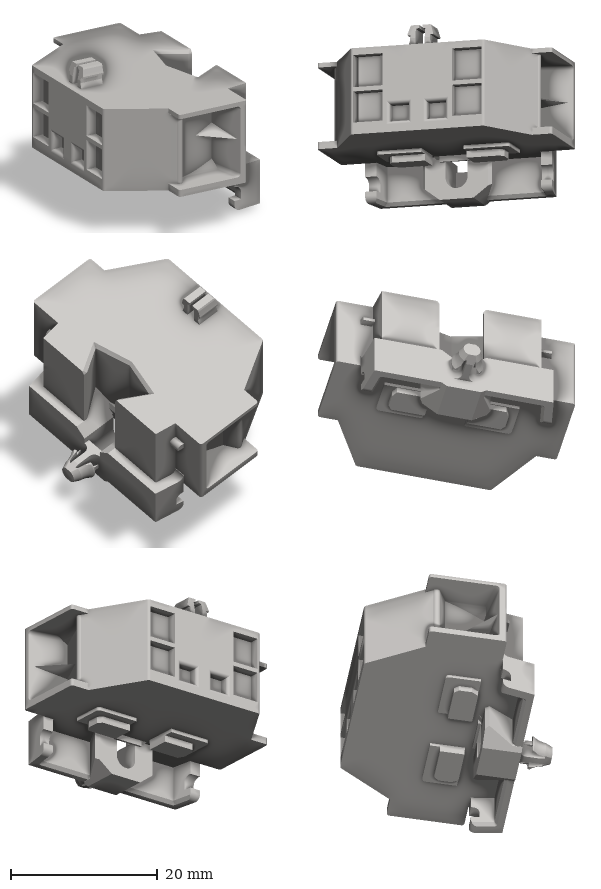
import cadquery as cq
import math


OVERLAP = 0.35

HOUSING_H = 12.03
HALF_WIDTH = 16.8
WING_FRONT_Y = 7.73
WING_REAR_Y = 18.48
WING_CORNER_R = 0.37
FLANK_FOOT_X = 13.95
FLANK_SLOPE = math.tan(math.radians(60))
FRONT_HALF_W = FLANK_FOOT_X - WING_FRONT_Y / FLANK_SLOPE
FRONT_EDGE_R = 0.45
TOWER_ROOT_X = 11.7
TOWER_REAR_X = 11.22
TOWER_REAR_Y = 21.7

WING_FLOOR_Z = 1.0
WING_ROOF_T = 0.65
WING_ROOF_Z = HOUSING_H - WING_ROOF_T
POCKET_R = 0.5
POCKET_REAR_Y = 17.47
POCKET_INNER_X = 11.02
POCKET_INNER_Y = 16.33
POCKET_FRONT_X = 12.85
POCKET_FRONT_Y = 10.62
FLANK_TIP_X = 14.75
FLANK_TIP_Y = 9.2
FLANK_TIP_START_Y = 8.7
FLANK_TIP_END = (14.4, 9.68)
RIDGE_Z = 6.3
RIDGE_HALF_H = 0.95
RIDGE_CREST_X = 16.03
RIDGE_END_Y = 13.2
GUIDE_OUTER_X = 12.97
GUIDE_ANGLE = math.radians(37)
GUIDE_R = 2.1

WINDOW_X = (5.0, 9.17)
WINDOW_Z = ((1.65, 5.98), (6.6, 11.05))
WINDOW_DEPTH = 1.5
GUTTER_W = 0.27
GUTTER_DEPTH = 0.47
PROBE_X = (1.3, 4.0)
PROBE_Z = (1.55, 3.93)
PROBE_RIM_R = 0.45
PROBE_DEPTH = 1.5

NOTCH_HALF_W = 3.12
NOTCH_NECK_Y = 21.1
NOTCH_WIDE_X = 5.35
NOTCH_WIDE_Y = 17.45
NOTCH_APEX_Y = 16.05
RIM_HALF_W = 3.43
RIM_NECK_Y = 21.57
RIM_WIDE_X = 6.05
RIM_WIDE_Y = 17.15
RIM_APEX_Y = 15.65
RIM_BEVEL_H = 0.5
TROUGH_R = 1.58
TROUGH_AXIS_Z = -2.9
TROUGH_FRONT_Y = 17.6
TROUGH_REAR_Y = 22.2
SADDLE_LOW_Z = -0.25
SILL_CORNER_W = 0.3
SILL_Y = 17.0
SILL_EDGE_Y = 17.45
SILL_TOP_Z = 1.0
SILL_LIP_H = 0.4
SILL_BEVEL_H = 0.47
TONGUE_HALF_W = 2.3
TONGUE_Y = 17.07
TONGUE_DEPTH = 0.8

SKIRT_REAR_Y = 23.05
SKIRT_REAR_X = 12.6
SKIRT_ROOT_X = 13.4
SKIRT_FRONT_Y = 18.55
LEG_INNER_X = 11.8
SKIRT_TOP_Z = 1.0
SKIRT_BOTTOM_Z = -5.45
SKIRT_BEVEL = 0.5
SKIRT_INNER_BEVEL = 0.4
SKIRT_TOE_R = 0.9
SKIRT_TOP_R = 0.85
CATCH_REAR_Y = 19.7
CATCH_Z = (-3.93, -1.88)
CATCH_R = 1.08
STOP_REAR_Y = 19.45
STOP_Z = (8.1, 9.05)
STOP_R = 0.65

BLOCK_BOTTOM_Z = -5.98
BLOCK_HALF_W = 4.95
BLOCK_FRONT_HALF_W = 4.55
BLOCK_BEVEL_Y = 18.15
BLOCK_SHOULDER_Z = -4.1
BLOCK_BOTTOM_HALF_W = 2.42
BLOCK_REAR_HALF_W = 3.1

FOOT_INNER_X = 3.0
PAD_OUTER_X = 9.5
PAD_Y = (11.32, 16.2)
PAD_R = 0.5
PAD_H = 0.5
FOOT_OUTER_X = 8.2
FOOT_Y = (12.75, 16.1)
FOOT_BEVEL_X = 0.5
FOOT_FRONT_BEVEL_Y = 0.65
FOOT_REAR_BEVEL_Y = 0.9
FOOT_BOTTOM_Z = -1.45

CLIP_TOP_Z = 15.02
CLIP_Y = (1.2, 4.65)
CLIP_TOP_FRONT_Y = 1.6
CLIP_LEAN_Z = 13.17
CLIP_INNER_X = 0.67
CLIP_LIP_X = 0.27
CLIP_LIP_Z = (14.45, 14.58)
CLIP_ROOT_X = 1.68
CLIP_NECK_Z = (12.85, 13.57)
CLIP_HEAD_Z = 13.8
CLIP_CROWN = ((1.7, 14.1), (1.5, 14.8), (1.38, CLIP_TOP_Z))
CLIP_NECK_X = 1.4
CLIP_HEAD_X = 1.8

ANCHOR_Z = -2.8
ANCHOR_HALF_H = 1.48
ANCHOR_TIP_Y = 27.6
STEM_HALF_W = 0.47
STEM_ROOT_R = 1.0
HEAD_TIP_R = 1.18
HEAD_TIP_HALF_H = 1.08
HEAD_SLOPE_Y = 26.1
HEAD_SHOULDER = (1.6, 26.58)
HEAD_WAIST = (1.85, 25.6)
HEAD_INNER_Y = 26.65
HEAD_INNER_X = 0.65
BARB_TOP_INNER = (0.85, 26.48)
BARB_R = 2.25
BARB_RIM_H = 0.2
BARB_BASE_Y = 24.65
BARB_INNER_X = 1.35
SPIKE_OUTER_X = 1.78
SPIKE_TIP = (1.75, 23.55)
SPIKE_HALF_H = 0.4


def prism_z(points, z0, z1):
    """Closed XY outline extruded between two heights."""
    return cq.Workplane("XY", origin=(0, 0, z0)).polyline(points).close().extrude(z1 - z0)


def prism_y(points, y0, y1):
    """Closed XZ outline extruded between two depths."""
    return cq.Workplane("XZ", origin=(0, y0, 0)).polyline(points).close().extrude(y0 - y1)


def prism_x(points, x0, x1):
    """Closed YZ outline extruded between two widths."""
    return cq.Workplane("YZ", origin=(x0, 0, 0)).polyline(points).close().extrude(x1 - x0)


def box(xs, ys, zs):
    """Box between pairs of limits."""
    return cq.Workplane("XY").box(
        xs[1] - xs[0], ys[1] - ys[0], zs[1] - zs[0], centered=False
    ).translate((xs[0], ys[0], zs[0]))


def mirrored(points):
    """Right-hand half outline completed by its mirror image about X = 0."""
    return points + [(-x, y) for x, y in reversed(points)]


def both_sides(shape):
    """A shape on the +X side together with its mirror image."""
    return shape.union(shape.mirror("YZ"))


def make_housing():
    """Prismatic housing: tapered front, two wings and a narrower rear tower."""
    core = prism_z(
        mirrored([
            (FRONT_HALF_W, 0),
            (FLANK_FOOT_X, WING_FRONT_Y),
            (FLANK_FOOT_X, WING_REAR_Y),
            (TOWER_ROOT_X, WING_REAR_Y),
            (TOWER_REAR_X, TOWER_REAR_Y),
        ]), 0, HOUSING_H)
    core = core.edges("|Z and <Y").fillet(FRONT_EDGE_R)
    wings = box((-HALF_WIDTH, HALF_WIDTH), (WING_FRONT_Y, WING_REAR_Y), (0, HOUSING_H))
    wings = wings.edges("|Z").fillet(WING_CORNER_R)
    return core.union(wings)


def rear_wall_y(x):
    """Depth of the pocket's slanted rear wall at a given width."""
    slope = (POCKET_REAR_Y - POCKET_INNER_Y) / (HALF_WIDTH - POCKET_INNER_X)
    return POCKET_INNER_Y + slope * (x - POCKET_INNER_X)


def inner_wall_x(y):
    """Width of the pocket's slanted inner wall at a given depth."""
    slope = (POCKET_FRONT_X - POCKET_INNER_X) / (POCKET_INNER_Y - POCKET_FRONT_Y)
    return POCKET_INNER_X + slope * (POCKET_INNER_Y - y)


def make_wing_pocket():
    """Funnel-shaped conductor entry, open to the front and to the outer side."""
    flank_x = FLANK_FOOT_X + (FLANK_TIP_START_Y - WING_FRONT_Y) / FLANK_SLOPE
    outside_x = HALF_WIDTH + OVERLAP
    outside_y = WING_FRONT_Y - OVERLAP
    void = (
        cq.Workplane("XY", origin=(0, 0, WING_FLOOR_Z))
        .moveTo(outside_x, POCKET_REAR_Y)
        .lineTo(HALF_WIDTH, POCKET_REAR_Y)
        .lineTo(POCKET_INNER_X, POCKET_INNER_Y)
        .lineTo(POCKET_FRONT_X, POCKET_FRONT_Y)
        .lineTo(*FLANK_TIP_END)
        .threePointArc((FLANK_TIP_X, FLANK_TIP_Y), (flank_x, FLANK_TIP_START_Y))
        .lineTo(FLANK_FOOT_X - OVERLAP / FLANK_SLOPE, outside_y)
        .lineTo(outside_x, outside_y)
        .close()
        .extrude(WING_ROOF_Z - WING_FLOOR_Z)
    )
    void = void.edges(cq.selectors.BoxSelector(
        (POCKET_INNER_X, POCKET_INNER_Y, 0),
        (HALF_WIDTH, POCKET_REAR_Y, HOUSING_H),
    )).edges("#Z").fillet(POCKET_R)
    void = void.cut(make_middle_ridge())
    floor_guide = make_guide()
    roof_guide = floor_guide.mirror("XY", (0, 0, (WING_FLOOR_Z + WING_ROOF_Z) / 2))
    return void.cut(floor_guide).cut(roof_guide)


def tetrahedron(a, b, c, d):
    """Solid with four corner points."""
    corners = [cq.Vector(*p) for p in (a, b, c, d)]
    faces = []
    for skip in range(4):
        ring = [p for i, p in enumerate(corners) if i != skip]
        faces.append(cq.Face.makeFromWires(cq.Wire.makePolygon(ring, close=True)))
    return cq.Workplane(cq.Solid.makeSolid(cq.Shell.makeShell(faces)))


def make_middle_ridge():
    """Pyramid in the pocket's inner corner that separates the two conductor entries."""
    return tetrahedron(
        (RIDGE_CREST_X, rear_wall_y(RIDGE_CREST_X), RIDGE_Z),
        (inner_wall_x(RIDGE_END_Y), RIDGE_END_Y, RIDGE_Z),
        (POCKET_INNER_X, POCKET_INNER_Y, RIDGE_Z + RIDGE_HALF_H),
        (POCKET_INNER_X, POCKET_INNER_Y, RIDGE_Z - RIDGE_HALF_H),
    )


def make_guide():
    """Ramp along the inner wall that blends tangentially into the pocket floor."""
    blend_x = GUIDE_OUTER_X - GUIDE_R * math.sin(GUIDE_ANGLE)
    blend_z = WING_FLOOR_Z + GUIDE_R * (1 - math.cos(GUIDE_ANGLE))
    inner_x = POCKET_INNER_X - OVERLAP
    return (
        cq.Workplane("XZ", origin=(0, POCKET_FRONT_Y, 0))
        .moveTo(inner_x, WING_FLOOR_Z)
        .lineTo(GUIDE_OUTER_X, WING_FLOOR_Z)
        .radiusArc((blend_x, blend_z), GUIDE_R)
        .lineTo(inner_x, blend_z + (blend_x - inner_x) * math.tan(GUIDE_ANGLE))
        .close()
        .extrude(POCKET_FRONT_Y - POCKET_REAR_Y)
    )


def make_front_openings():
    """Four windows near the flanks and two small probe holes between them."""
    openings = both_sides(box(PROBE_X, (0, PROBE_DEPTH), PROBE_Z))
    end_x = -WINDOW_X[1]
    for z in WINDOW_Z:
        window = both_sides(box(WINDOW_X, (0, WINDOW_DEPTH), z))
        gutter = prism_z(
            [
                (end_x, WINDOW_DEPTH),
                (end_x + GUTTER_W, WINDOW_DEPTH),
                (end_x, WINDOW_DEPTH + GUTTER_DEPTH),
            ], z[0], z[1])
        openings = openings.union(window).union(gutter)
    return openings


def round_probe_mouths(body):
    """Round the rims of the two small front openings."""
    reach = 0.05
    for side in (-1, 1):
        rim = cq.selectors.BoxSelector(
            (side * (PROBE_X[0] - reach), -reach, PROBE_Z[0] - reach),
            (side * (PROBE_X[1] + reach), reach, PROBE_Z[1] + reach),
        )
        body = body.edges(rim).fillet(PROBE_RIM_R)
    return body


def notch_outline(half_w, neck_y, wide_x, wide_y, apex_y):
    """Dovetail outline with a V-shaped front, open past the rear."""
    return mirrored([
        (0, apex_y),
        (wide_x, wide_y),
        (half_w, neck_y),
        (half_w, SKIRT_REAR_Y + OVERLAP),
    ])[1:]


def make_notch():
    """Dovetail notch with a bevelled rim and a floor that falls to a trough."""
    saddle_slope = (SKIRT_TOP_Z - SADDLE_LOW_Z) / (NOTCH_HALF_W - TROUGH_R)
    saddle_high = SADDLE_LOW_Z + (NOTCH_WIDE_X - TROUGH_R) * saddle_slope
    above_floor = prism_y(
        mirrored([
            (TROUGH_R, SADDLE_LOW_Z),
            (NOTCH_WIDE_X, saddle_high),
            (NOTCH_WIDE_X, HOUSING_H),
        ]), NOTCH_APEX_Y, SKIRT_REAR_Y)
    walls = notch_outline(NOTCH_HALF_W, NOTCH_NECK_Y, NOTCH_WIDE_X, NOTCH_WIDE_Y, NOTCH_APEX_Y)
    brim = notch_outline(RIM_HALF_W, RIM_NECK_Y, RIM_WIDE_X, RIM_WIDE_Y, RIM_APEX_Y)
    well = prism_z(walls, SADDLE_LOW_Z, HOUSING_H).intersect(above_floor)
    rim = (
        cq.Workplane("XY", origin=(0, 0, HOUSING_H - RIM_BEVEL_H)).polyline(walls).close()
        .workplane(offset=RIM_BEVEL_H).polyline(brim).close()
        .loft(ruled=True)
    )
    return well.union(rim)


def make_trough():
    """Round-bottomed trough below the notch, with a shallower outlet at the rear."""
    channel = (
        cq.Workplane("XZ", origin=(0, SILL_EDGE_Y, 0))
        .moveTo(-TROUGH_R, SADDLE_LOW_Z)
        .lineTo(-TROUGH_R, TROUGH_AXIS_Z)
        .threePointArc((0, TROUGH_AXIS_Z - TROUGH_R), (TROUGH_R, TROUGH_AXIS_Z))
        .lineTo(TROUGH_R, SADDLE_LOW_Z)
        .close()
        .extrude(SILL_EDGE_Y - TROUGH_REAR_Y)
    )
    outlet_z = ANCHOR_Z + ANCHOR_HALF_H
    outlet = box((-TROUGH_R, TROUGH_R), (TROUGH_REAR_Y, SKIRT_REAR_Y), (outlet_z, SADDLE_LOW_Z))
    return channel.union(outlet)


def make_sill():
    """Ledge across the front of the notch, bevelled towards the trough."""
    ledge = prism_x(
        [
            (NOTCH_APEX_Y - OVERLAP, 0),
            (TONGUE_Y, 0),
            (SILL_EDGE_Y, -SILL_LIP_H),
            (SILL_EDGE_Y, SILL_TOP_Z - SILL_BEVEL_H),
            (SILL_Y, SILL_TOP_Z),
            (NOTCH_APEX_Y - OVERLAP, SILL_TOP_Z),
        ], -NOTCH_HALF_W, NOTCH_HALF_W)
    ledge = ledge.intersect(prism_z(
        mirrored([
            (NOTCH_HALF_W, NOTCH_APEX_Y - OVERLAP),
            (NOTCH_HALF_W, SILL_Y),
            (NOTCH_HALF_W - SILL_CORNER_W, SILL_EDGE_Y),
        ]), -TONGUE_DEPTH, HOUSING_H))
    tongue = box((-TONGUE_HALF_W, TONGUE_HALF_W), (TONGUE_Y, SILL_EDGE_Y), (-TONGUE_DEPTH, 0))
    return ledge.union(tongue)


def skirt_side_x(y):
    """Half width of the skirt's flared outer side at a given depth."""
    slope = (SKIRT_ROOT_X - SKIRT_REAR_X) / (SKIRT_REAR_Y - WING_REAR_Y)
    return SKIRT_REAR_X + slope * (SKIRT_REAR_Y - y)


def make_skirt():
    """U-shaped hook behind the tower: a rear wall with two flared legs."""
    outer = mirrored([
        (skirt_side_x(WING_REAR_Y - OVERLAP), WING_REAR_Y - OVERLAP),
        (SKIRT_REAR_X, SKIRT_REAR_Y),
    ])
    inner = mirrored([
        (LEG_INNER_X, WING_REAR_Y - OVERLAP),
        (LEG_INNER_X, WING_REAR_Y),
        (TOWER_REAR_X, TOWER_REAR_Y),
    ])
    skirt = prism_z(outer, SKIRT_BOTTOM_Z, HOUSING_H)
    skirt = skirt.cut(prism_z(inner, SKIRT_BOTTOM_Z, HOUSING_H))
    flare = math.degrees(math.atan(SKIRT_INNER_BEVEL / SKIRT_BEVEL))
    bevel = (
        cq.Workplane("XY", origin=(0, 0, SKIRT_BOTTOM_Z + SKIRT_BEVEL))
        .polyline(inner).close().extrude(-SKIRT_BEVEL, taper=-flare)
    )
    return skirt.cut(bevel).intersect(make_skirt_side().union(make_stop_side()))


def make_skirt_side():
    """Side outline of the skirt: rounded toe, catch recess and a flared root at the wings."""
    front = SKIRT_FRONT_Y
    top = SKIRT_TOP_Z
    return (
        cq.Workplane("YZ", origin=(-HALF_WIDTH, 0, 0))
        .moveTo(SKIRT_REAR_Y, SKIRT_BOTTOM_Z)
        .lineTo(SKIRT_REAR_Y, top)
        .lineTo(front + SKIRT_TOP_R, top)
        .radiusArc((front, top + SKIRT_TOP_R), SKIRT_TOP_R)
        .lineTo(front - OVERLAP, top + SKIRT_TOP_R)
        .lineTo(front - OVERLAP, 0)
        .lineTo(front, 0)
        .lineTo(front, CATCH_Z[1])
        .radiusArc((CATCH_REAR_Y, CATCH_Z[1] - CATCH_R), CATCH_R)
        .lineTo(CATCH_REAR_Y, CATCH_Z[0])
        .lineTo(front, CATCH_Z[0])
        .lineTo(front, SKIRT_BOTTOM_Z + SKIRT_TOE_R)
        .radiusArc((front + SKIRT_TOE_R, SKIRT_BOTTOM_Z), -SKIRT_TOE_R)
        .close()
        .extrude(2 * HALF_WIDTH)
    )


def make_stop_side():
    """Side outline of the small stops behind the wings."""
    stop = box((-HALF_WIDTH, HALF_WIDTH), (WING_REAR_Y - OVERLAP, STOP_REAR_Y), STOP_Z)
    return stop.edges("|X and >Y and >Z").fillet(STOP_R)


def make_block():
    """Dovetail block under the notch with slanted lower corners."""
    plan = prism_z(
        mirrored([
            (BLOCK_FRONT_HALF_W, TROUGH_FRONT_Y),
            (BLOCK_HALF_W, BLOCK_BEVEL_Y),
            (BLOCK_REAR_HALF_W, TOWER_REAR_Y),
            (BLOCK_REAR_HALF_W, SKIRT_REAR_Y),
        ]), BLOCK_BOTTOM_Z, SKIRT_TOP_Z)
    front = prism_y(
        mirrored([
            (BLOCK_HALF_W, SKIRT_TOP_Z),
            (BLOCK_HALF_W, BLOCK_SHOULDER_Z),
            (BLOCK_BOTTOM_HALF_W, BLOCK_BOTTOM_Z),
        ]), TROUGH_FRONT_Y, SKIRT_REAR_Y)
    return plan.intersect(front)


def make_foot():
    """Stepped foot: a rounded pad with a smaller bevelled foot below it."""
    pad = box((FOOT_INNER_X, PAD_OUTER_X), PAD_Y, (-PAD_H, 0))
    pad = pad.edges("|Z and >X and <Y").fillet(PAD_R)
    foot = prism_z(
        [
            (FOOT_INNER_X, FOOT_Y[0]),
            (FOOT_OUTER_X - FOOT_BEVEL_X, FOOT_Y[0]),
            (FOOT_OUTER_X, FOOT_Y[0] + FOOT_FRONT_BEVEL_Y),
            (FOOT_OUTER_X, FOOT_Y[1] - FOOT_REAR_BEVEL_Y),
            (FOOT_OUTER_X - FOOT_BEVEL_X, FOOT_Y[1]),
            (FOOT_INNER_X, FOOT_Y[1]),
        ], FOOT_BOTTOM_Z, -PAD_H)
    return pad.union(foot)


def make_marker_jaw():
    """One jaw of the marker clip, leaning back at its front end."""
    jaw = prism_y(
        [
            (CLIP_INNER_X, HOUSING_H),
            (CLIP_ROOT_X, HOUSING_H),
            (CLIP_NECK_X, CLIP_NECK_Z[0]),
            (CLIP_NECK_X, CLIP_NECK_Z[1]),
            (CLIP_HEAD_X, CLIP_NECK_Z[1]),
            (CLIP_HEAD_X, CLIP_HEAD_Z),
            *CLIP_CROWN,
            (CLIP_LIP_X, CLIP_TOP_Z),
            (CLIP_LIP_X, CLIP_LIP_Z[1]),
            (CLIP_INNER_X, CLIP_LIP_Z[0]),
        ], CLIP_Y[0], CLIP_Y[1])
    side = prism_x(
        [
            (CLIP_Y[1], HOUSING_H),
            (CLIP_Y[0], HOUSING_H),
            (CLIP_Y[0], CLIP_LEAN_Z),
            (CLIP_TOP_FRONT_Y, CLIP_TOP_Z),
            (CLIP_Y[1], CLIP_TOP_Z),
        ], 0, CLIP_HEAD_X)
    return jaw.intersect(side)


def make_anchor_stem():
    """Flat stem with flared fillets at its root."""
    root_half_w = STEM_HALF_W + STEM_ROOT_R
    root_y = SKIRT_REAR_Y + STEM_ROOT_R
    return (
        cq.Workplane("XY", origin=(0, 0, -ANCHOR_HALF_H))
        .moveTo(-root_half_w, SKIRT_REAR_Y)
        .radiusArc((-STEM_HALF_W, root_y), -STEM_ROOT_R)
        .lineTo(-STEM_HALF_W, HEAD_INNER_Y)
        .lineTo(STEM_HALF_W, HEAD_INNER_Y)
        .lineTo(STEM_HALF_W, root_y)
        .radiusArc((root_half_w, SKIRT_REAR_Y), -STEM_ROOT_R)
        .close()
        .extrude(2 * ANCHOR_HALF_H)
    )


def make_anchor_head():
    """Flared cone, hollowed beside the stem so that only two barbs remain."""
    cone = (
        cq.Workplane("XY")
        .moveTo(0, ANCHOR_TIP_Y)
        .lineTo(HEAD_TIP_R, ANCHOR_TIP_Y)
        .lineTo(*HEAD_SHOULDER)
        .threePointArc(HEAD_WAIST, (BARB_R, BARB_BASE_Y + BARB_RIM_H))
        .lineTo(BARB_R, BARB_BASE_Y)
        .lineTo(0, BARB_BASE_Y)
        .close()
        .revolve(360, (0, 0, 0), (0, 1, 0))
    )
    gap = prism_z(
        [
            (0, BARB_BASE_Y),
            (BARB_INNER_X, BARB_BASE_Y),
            BARB_TOP_INNER,
            (HEAD_INNER_X, HEAD_INNER_Y),
            (0, HEAD_INNER_Y),
        ], -BARB_R, BARB_R)
    return cone.cut(both_sides(gap))


def make_anchor():
    """Push-in anchor: stem and barbed head between flats, with a spike on each barb."""
    flats = prism_x(
        [
            (SKIRT_REAR_Y, -ANCHOR_HALF_H),
            (HEAD_SLOPE_Y, -ANCHOR_HALF_H),
            (ANCHOR_TIP_Y, -HEAD_TIP_HALF_H),
            (ANCHOR_TIP_Y, HEAD_TIP_HALF_H),
            (HEAD_SLOPE_Y, ANCHOR_HALF_H),
            (SKIRT_REAR_Y, ANCHOR_HALF_H),
        ], -BARB_R, BARB_R)
    spike_root_y = BARB_BASE_Y + BARB_RIM_H / 2
    spike = prism_z(
        [(BARB_INNER_X, spike_root_y), (SPIKE_OUTER_X, spike_root_y), SPIKE_TIP],
        -SPIKE_HALF_H, SPIKE_HALF_H)
    body = make_anchor_stem().union(make_anchor_head()).intersect(flats)
    return body.union(both_sides(spike)).translate((0, 0, ANCHOR_Z))


result = make_housing()
result = result.cut(both_sides(make_wing_pocket()))
result = result.cut(make_front_openings())
result = round_probe_mouths(result)
result = result.union(make_skirt())
result = result.union(make_block())
result = result.cut(make_notch())
result = result.cut(make_trough())
result = result.union(make_sill())
result = result.union(both_sides(make_foot()))
result = result.union(both_sides(make_marker_jaw()))
result = result.union(make_anchor())